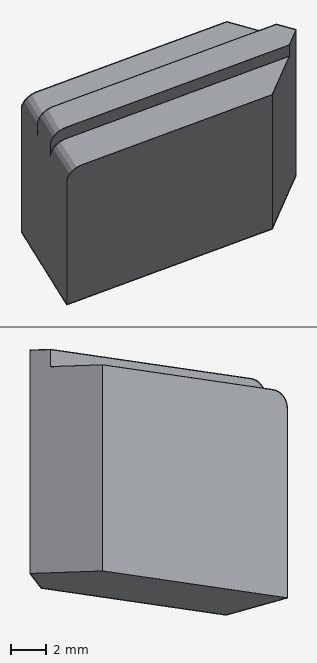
import cadquery as cq

length = 15.94
width = 6.0
height = 13.0
point_length = 2.95
rib_width = 1.7
rib_height = 1.0
edge_radius = 1.0

half_width = width / 2
shoulder_y = length - point_length
body_height = height - rib_height


def rounded_slab(slab_width, slab_height):
    """Full-length block centred on X, with its top edge rounded at the flat end."""
    block = cq.Workplane("XY").box(slab_width, length, slab_height, centered=(True, False, False))
    return block.faces("<Y").edges(">Z").fillet(edge_radius)


def pointed_envelope():
    """Full-height prism with the pointed plan outline."""
    outline = [
        (-half_width, 0),
        (half_width, 0),
        (half_width, shoulder_y),
        (0, length),
        (-half_width, shoulder_y),
    ]
    return cq.Workplane("XY").polyline(outline).close().extrude(height)


body = rounded_slab(width, body_height)
rib = rounded_slab(rib_width, height)
result = body.union(rib).intersect(pointed_envelope())